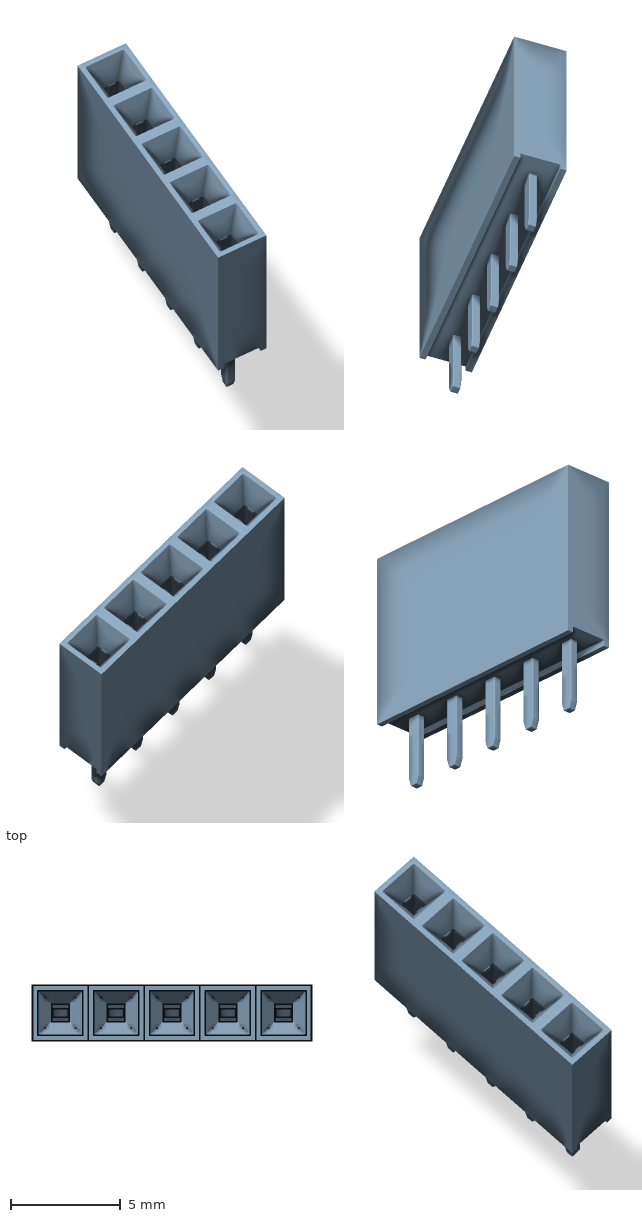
import cadquery as cq

cell_count = 5
pitch = 2.54
housing_height = 8.5
pin_length = 3.2

foot_width = 0.3
foot_height = 0.3

rim_width = 0.25
mouth_size = pitch - 2 * rim_width
hole_size = 0.8
funnel_depth = 1.25
socket_corner_radius = 0.05
funnel_bottom_z = housing_height - funnel_depth
socket_floor_z = 3.0

contact_thickness = 0.4
contact_edge_radius = 0.05
fork_gap = 0.7
crotch_bottom_z = 3.5
fork_width = 1.4
fork_bottom_z = 2.5
pin_width = 0.64
tip_width = 0.36
tip_length = 0.4


def make_housing():
    """Square block with a channel underneath and a rounded-corner socket; its feet stand on z = 0."""
    block = cq.Workplane("XY").box(pitch, pitch, housing_height, centered=(True, True, False))
    channel = cq.Workplane("XY").box(
        pitch, pitch - 2 * foot_width, foot_height, centered=(True, True, False)
    )
    funnel = (
        cq.Workplane("XY", origin=(0, 0, housing_height))
        .rect(mouth_size, mouth_size)
        .workplane(offset=-funnel_depth)
        .rect(hole_size, hole_size)
        .loft(ruled=True)
        .edges("not #Z")
        .fillet(socket_corner_radius)
    )
    hole = (
        cq.Workplane("XY", origin=(0, 0, socket_floor_z))
        .box(hole_size, hole_size, funnel_bottom_z - socket_floor_z, centered=(True, True, False))
        .edges("|Z")
        .fillet(socket_corner_radius)
    )
    return block.cut(channel).cut(funnel).cut(hole)


def make_contact():
    """Flat profile extruded along Y; the fork sides sink into the socket walls."""
    half_fork = fork_width / 2
    half_gap = fork_gap / 2
    half_pin = pin_width / 2
    half_tip = tip_width / 2
    crotch_center_z = crotch_bottom_z + half_gap
    taper_z = -pin_length + tip_length
    return (
        cq.Workplane("XZ")
        .moveTo(-half_tip, -pin_length)
        .lineTo(half_tip, -pin_length)
        .lineTo(half_pin, taper_z)
        .lineTo(half_pin, fork_bottom_z)
        .lineTo(half_fork, fork_bottom_z)
        .lineTo(half_fork, funnel_bottom_z)
        .lineTo(half_gap, funnel_bottom_z)
        .lineTo(half_gap, crotch_center_z)
        .threePointArc((0, crotch_bottom_z), (-half_gap, crotch_center_z))
        .lineTo(-half_gap, funnel_bottom_z)
        .lineTo(-half_fork, funnel_bottom_z)
        .lineTo(-half_fork, fork_bottom_z)
        .lineTo(-half_pin, fork_bottom_z)
        .lineTo(-half_pin, taper_z)
        .close()
        .extrude(contact_thickness / 2, both=True)
        .faces("<Y or >Y or <Z")
        .edges()
        .fillet(contact_edge_radius)
    )


cell = make_housing().union(make_contact())
first_cell_x = -(cell_count - 1) * pitch / 2
cells = [cell.translate((first_cell_x + i * pitch, 0, 0)) for i in range(cell_count)]

result = cq.Compound.makeCompound([socket.val() for socket in cells])